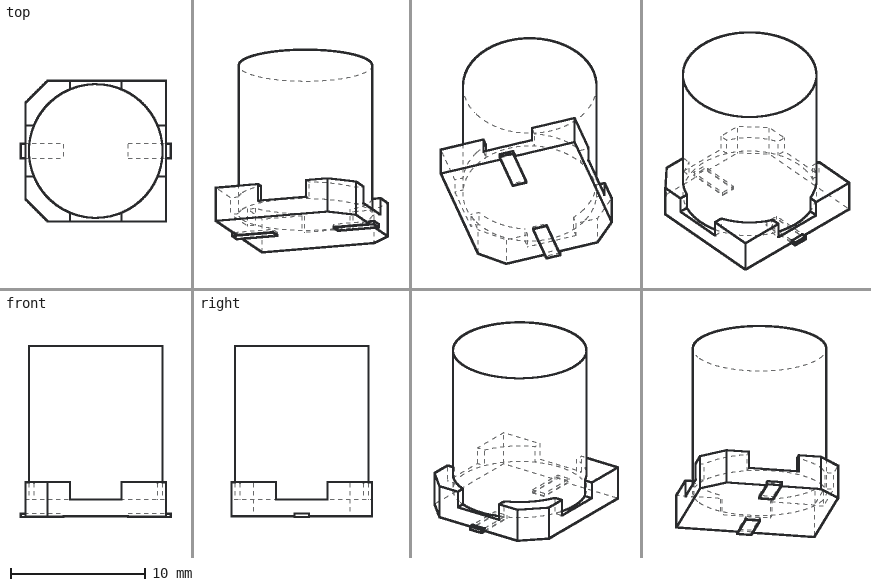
import cadquery as cq

TOTAL_HEIGHT = 12.75
BASE_SIDE = 10.49
TERMINAL_SPAN = 11.2
CAN_DIAMETER = 9.96

BASE_STANDOFF = 0.05
BASE_TOP = 2.6
SEAT_HEIGHT = 1.33
CORNER_CHAMFER = 1.67
NOTCH_WIDTH = 3.8

TERMINAL_LENGTH = 3.21
TERMINAL_WIDTH = 1.08
TERMINAL_THICKNESS = 0.25


def make_can():
    """Cylindrical can standing on the seat of the base."""
    return (
        cq.Workplane("XY", origin=(0, 0, SEAT_HEIGHT))
        .circle(CAN_DIAMETER / 2)
        .extrude(TOTAL_HEIGHT - SEAT_HEIGHT)
    )


def make_terminal(side):
    """Flat terminal set into the underside; side is -1 or +1 along X."""
    center_x = side * (TERMINAL_SPAN - TERMINAL_LENGTH) / 2
    return cq.Workplane("XY", origin=(center_x, 0, 0)).box(
        TERMINAL_LENGTH, TERMINAL_WIDTH, TERMINAL_THICKNESS, centered=(True, True, False)
    )


def make_base(can, terminals):
    """Square base with two chamfered corners, side notches and fitted recesses."""
    base = (
        cq.Workplane("XY", origin=(0, 0, BASE_STANDOFF))
        .box(BASE_SIDE, BASE_SIDE, BASE_TOP - BASE_STANDOFF, centered=(True, True, False))
        .edges("|Z and <X")
        .chamfer(CORNER_CHAMFER)
    )

    notch_depth = BASE_TOP - SEAT_HEIGHT
    for length_x, length_y in [(BASE_SIDE, NOTCH_WIDTH), (NOTCH_WIDTH, BASE_SIDE)]:
        channel = cq.Workplane("XY", origin=(0, 0, SEAT_HEIGHT)).box(
            length_x, length_y, notch_depth, centered=(True, True, False)
        )
        base = base.cut(channel)

    base = base.cut(can)
    for terminal in terminals:
        base = base.cut(terminal)
    return base.solids()


can = make_can()
terminals = [make_terminal(side) for side in (-1, 1)]
base = make_base(can, terminals)

result = cq.Compound.makeCompound([base.val(), can.val(), *[terminal.val() for terminal in terminals]])